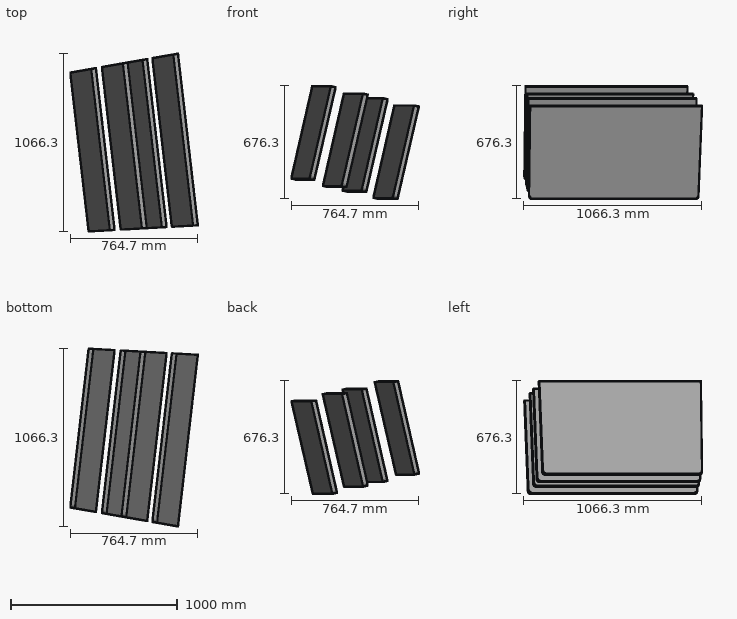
import cadquery as cq
import math

TOP_LENGTH = 974.0
BOTTOM_LENGTH = 959.0
HEIGHT = 569.0
THICKNESS = 30.0
CORNER_RADIUS = 20.0

END_FLARE_ANGLE = 3.3

LEAN_ANGLE = 13.0
TURN_ANGLE = 6.6

PLATE_OFFSETS = [0, 197.0, 320.0, 512.0]


def outline_at(depth):
    """Corners of the flared, tapered outline at a given depth along the plate normal."""
    flare = depth * math.tan(math.radians(END_FLARE_ANGLE))
    half_top = TOP_LENGTH / 2 + flare
    half_bottom = BOTTOM_LENGTH / 2 + flare
    return [
        (-half_bottom, 0),
        (half_bottom, 0),
        (half_top, HEIGHT),
        (-half_top, HEIGHT),
    ]


def make_plate(offset):
    """Upright plate with flared ends, square top corners and rounded bottom corners."""
    plate = (
        cq.Workplane("YZ", origin=(offset, 0, 0))
        .polyline(outline_at(offset))
        .close()
        .workplane(offset=THICKNESS)
        .polyline(outline_at(offset + THICKNESS))
        .close()
        .loft(ruled=True)
    )
    bottom_corners = plate.faces("<Z").edges("not |Y")
    return bottom_corners.fillet(CORNER_RADIUS)


def tilt(plate):
    """Lean the plate towards +X, then turn it about the vertical axis."""
    leaned = plate.rotate((0, 0, 0), (0, 1, 0), LEAN_ANGLE)
    return leaned.rotate((0, 0, 0), (0, 0, 1), TURN_ANGLE)


plates = [tilt(make_plate(offset)).val() for offset in PLATE_OFFSETS]

result = cq.Compound.makeCompound(plates)